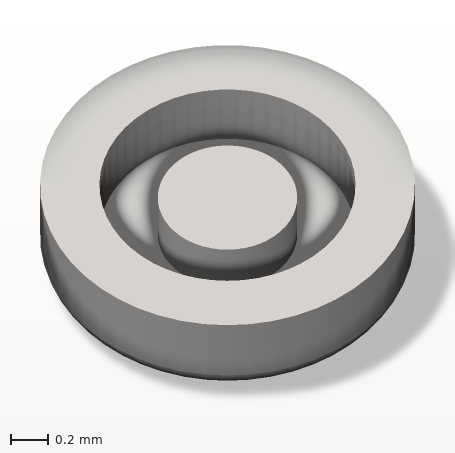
import cadquery as cq
import math

outer_diameter = 2.02
height = 0.57
bottom_arc_radius = 0.2
bottom_arc_height = 0.162

recess_diameter = 1.38
recess_depth = 0.4

post_diameter = 0.751
post_drop = 0.1


def rounded_body():
    """Disc whose lower edge is an arc, tangent to the underside and meeting the wall at a slight angle."""
    outer_radius = outer_diameter / 2
    centre_z = bottom_arc_radius
    arc_width = math.sqrt(bottom_arc_radius**2 - (centre_z - bottom_arc_height) ** 2)
    underside_radius = outer_radius - arc_width
    profile = (
        cq.Workplane("XZ")
        .lineTo(underside_radius, 0)
        .radiusArc((outer_radius, bottom_arc_height), -bottom_arc_radius)
        .lineTo(outer_radius, height)
        .lineTo(0, height)
        .close()
    )
    return profile.revolve(360, (0, 0, 0), (0, 1, 0))


def ring_recess():
    """Recess volume with the central post left standing."""
    floor = height - recess_depth
    recess = cq.Workplane("XY").workplane(offset=floor).circle(recess_diameter / 2).extrude(recess_depth)
    post_height = recess_depth - post_drop
    post = cq.Workplane("XY").workplane(offset=floor).circle(post_diameter / 2).extrude(post_height)
    return recess.cut(post)


result = rounded_body().cut(ring_recess())